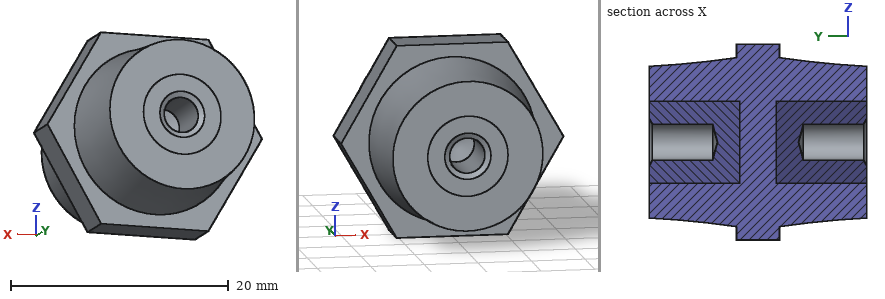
import cadquery as cq
import math

HEX_CORNERS = 20.78
TOTAL_LENGTH = 20.0
HEX_THICKNESS = 4.0
END_DIAMETER = 14.0
ROOT_DIAMETER = 15.58
WAIST_DIAMETER = 14.6
INSERT_DIAMETER = 7.5
INSERT_LENGTH = 8.31
HOLE_DIAMETER = 3.28
HOLE_DEPTH = 5.82
MOUTH_DIAMETER = 4.32
MOUTH_ANGLE = 120.0
TIP_ANGLE = 150.0

HALF_LENGTH = TOTAL_LENGTH / 2
HALF_HEX = HEX_THICKNESS / 2
BARREL_MIDDLE = (HALF_LENGTH + HALF_HEX) / 2
INSERT_RADIUS = INSERT_DIAMETER / 2
HOLE_RADIUS = HOLE_DIAMETER / 2
MOUTH_RADIUS = MOUTH_DIAMETER / 2
COUNTERSINK_DEPTH = (MOUTH_RADIUS - HOLE_RADIUS) / math.tan(math.radians(MOUTH_ANGLE / 2))
TIP_LENGTH = HOLE_RADIUS / math.tan(math.radians(TIP_ANGLE / 2))
INSERT_INNER_END = HALF_LENGTH - INSERT_LENGTH
BORE_END = HALF_LENGTH - HOLE_DEPTH

SIDES = (1, -1)


def revolve_about_y(profile):
    """Turn a closed XY half-profile into a solid around the Y axis."""
    return profile.revolve(360, (0, 0, 0), (0, 1, 0))


def make_barrel(side):
    """Flared barrel whose concave side widens from the end face to the collar."""
    profile = (
        cq.Workplane("XY")
        .lineTo(0, side * HALF_LENGTH)
        .lineTo(END_DIAMETER / 2, side * HALF_LENGTH)
        .threePointArc(
            (WAIST_DIAMETER / 2, side * BARREL_MIDDLE),
            (ROOT_DIAMETER / 2, side * HALF_HEX),
        )
        .lineTo(ROOT_DIAMETER / 2, 0)
        .close()
    )
    return revolve_about_y(profile)


def make_insert_pocket(side):
    """Blind round pocket that the insert fills exactly."""
    profile = (
        cq.Workplane("XY")
        .moveTo(0, side * INSERT_INNER_END)
        .lineTo(INSERT_RADIUS, side * INSERT_INNER_END)
        .lineTo(INSERT_RADIUS, side * HALF_LENGTH)
        .lineTo(0, side * HALF_LENGTH)
        .close()
    )
    return revolve_about_y(profile)


def make_housing():
    """Hexagonal collar with a barrel and an insert pocket on each side."""
    housing = cq.Workplane("XZ").polygon(6, HEX_CORNERS).extrude(HALF_HEX, both=True)
    for side in SIDES:
        housing = housing.union(make_barrel(side))
    for side in SIDES:
        housing = housing.cut(make_insert_pocket(side))
    return housing


def make_insert(side):
    """Round insert with a countersunk blind hole that ends in a conical tip."""
    profile = (
        cq.Workplane("XY")
        .moveTo(0, side * INSERT_INNER_END)
        .lineTo(INSERT_RADIUS, side * INSERT_INNER_END)
        .lineTo(INSERT_RADIUS, side * HALF_LENGTH)
        .lineTo(MOUTH_RADIUS, side * HALF_LENGTH)
        .lineTo(HOLE_RADIUS, side * (HALF_LENGTH - COUNTERSINK_DEPTH))
        .lineTo(HOLE_RADIUS, side * BORE_END)
        .lineTo(0, side * (BORE_END - TIP_LENGTH))
        .close()
    )
    return revolve_about_y(profile)


housing = make_housing()
inserts = [make_insert(side) for side in SIDES]

result = cq.Compound.makeCompound([housing.val(), *[insert.val() for insert in inserts]])